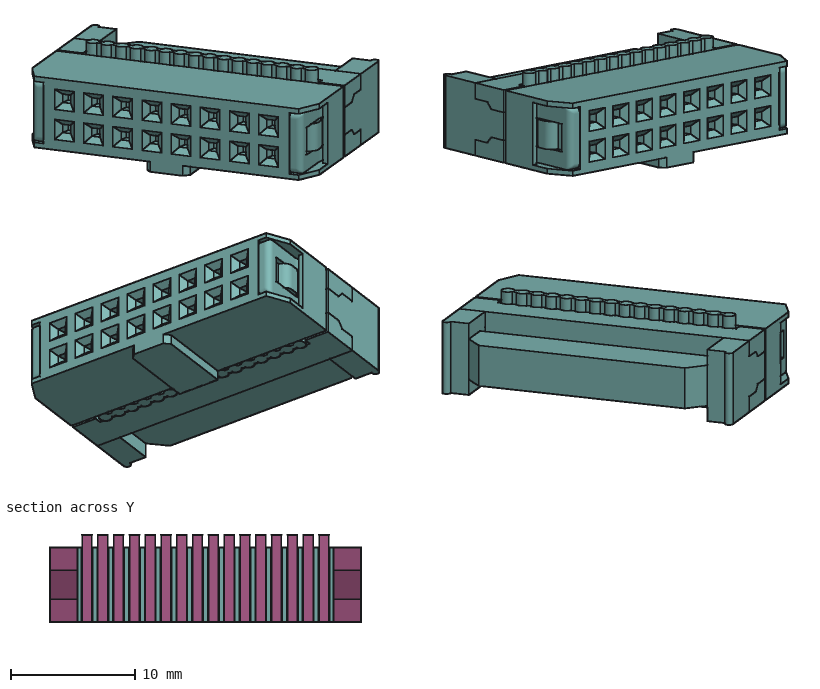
import cadquery as cq
import math


WIDTH = 25.0
HEIGHT = 6.0
HALF_WIDTH = WIDTH / 2
MID_Z = HEIGHT / 2

HOUSING_DEPTH = 7.0
NOSE_CHAMFER_X = 1.0
NOSE_CHAMFER_Y = 1.95
KEY_WIDTH = 3.75
KEY_HEIGHT = 0.85
KEY_CHAMFER = 0.45
SOCKET_COLUMNS = 8
SOCKET_ROWS = 2
SOCKET_ROW_LENGTH = 17.78
SOCKET_PITCH = SOCKET_ROW_LENGTH / (SOCKET_COLUMNS - 1)
FUNNEL_MOUTH = 1.7
FUNNEL_THROAT = 0.7
FUNNEL_DEPTH = (FUNNEL_MOUTH - FUNNEL_THROAT) / 2
SOCKET_END_WIDTH = 0.38
SOCKET_END_DEPTH = 1.25
RECESS_DEPTH = 3.72
ARM_SLOT_OUTER_X = 12.08

COVER_GAP = 0.25
COVER_FRONT = HOUSING_DEPTH + COVER_GAP
COVER_BACK = 10.68
ARM_INNER_X = 10.7
ARM_ROOT_X = 11.95
ARM_TIP_X = 11.75
ARM_RAMP_FRONT = 3.75
ARM_RAMP_LENGTH = 1.25
ARM_TIP_Y = 0.08
ARM_HEIGHT = 5.15
ARM_BOTTOM = MID_Z - ARM_HEIGHT / 2
ARM_TIP_RADIUS = 0.5
ARM_EDGE_RADIUS = 0.15
WINDOW_FRONT = 1.08

CLIP_LEG_WIDTH = 2.22
CLIP_INNER_X = HALF_WIDTH - CLIP_LEG_WIDTH
CLIP_SHOULDER_BACK = 14.3
CLIP_SHOULDER_HEIGHT = 3.38
CLIP_TAPER_BACK = 9.25
CLIP_TAPER_FRONT = 8.75
LEG_HEIGHT = 2.3
LEG_FLOOR_X = 11.3
HOOK_BACK = 3.58
HOOK_NOSE_BACK = 2.82
HOOK_NOSE_FRONT = 2.08
HOOK_NOSE_RADIUS = 0.78
HOOK_FRONT = 2.0
BEAD_RADIUS = 0.32
BEAD_CENTER_Y = 14.38
BAR_FRONT = 11.82
BAR_BACK = 15.7
BAR_HEIGHT = 3.4
BAR_CHAMFER = BAR_BACK - CLIP_SHOULDER_BACK

WIRE_COUNT = 16
WIRE_PITCH = SOCKET_PITCH / 2
WIRE_RADIUS = 0.52
WEB_THICKNESS = 0.52
CABLE_HEIGHT = 7.0
CABLE_Y = HOUSING_DEPTH + WIRE_RADIUS
WIRE_XS = [(i - (WIRE_COUNT - 1) / 2) * WIRE_PITCH for i in range(WIRE_COUNT)]
CABLE_POCKET_BACK = 7.88
WIRE_GROOVE_RADIUS = 0.58


def box(x_range, y_range, z_range):
    """Box that spans the given (low, high) ranges."""
    (x0, x1), (y0, y1), (z0, z1) = x_range, y_range, z_range
    return cq.Workplane("XY").box(x1 - x0, y1 - y0, z1 - z0, centered=False).translate((x0, y0, z0))


def centered_z(height):
    """Z range of the given height about the middle of the connector."""
    return MID_Z - height / 2, MID_Z + height / 2


def with_mirror(left):
    """Left-hand shape together with its mirror image on the right."""
    return left.union(left.mirror("YZ"))


def socket_cutter():
    """Square lead-in funnel followed by a throat that narrows to a slot."""
    return (
        cq.Workplane("XZ")
        .rect(FUNNEL_MOUTH, FUNNEL_MOUTH)
        .workplane(offset=-FUNNEL_DEPTH)
        .rect(FUNNEL_THROAT, FUNNEL_THROAT)
        .loft(ruled=True)
        .union(
            cq.Workplane("XZ", origin=(0, FUNNEL_DEPTH, 0))
            .rect(FUNNEL_THROAT, FUNNEL_THROAT)
            .workplane(offset=FUNNEL_DEPTH - SOCKET_END_DEPTH)
            .rect(SOCKET_END_WIDTH, FUNNEL_THROAT)
            .loft(ruled=True)
        )
    )


def polarizing_key():
    """Rib under the housing, with its two front corners chamfered."""
    key = box((-KEY_WIDTH / 2, KEY_WIDTH / 2), (0, HOUSING_DEPTH), (-KEY_HEIGHT, 0))
    return key.faces("<Y").edges("|Z").chamfer(KEY_CHAMFER)


def make_housing():
    nose_half = HALF_WIDTH - NOSE_CHAMFER_X
    body = (
        cq.Workplane("XY")
        .polyline([
            (-nose_half, 0),
            (nose_half, 0),
            (HALF_WIDTH, NOSE_CHAMFER_Y),
            (HALF_WIDTH, HOUSING_DEPTH),
            (-HALF_WIDTH, HOUSING_DEPTH),
            (-HALF_WIDTH, NOSE_CHAMFER_Y),
        ])
        .close()
        .extrude(HEIGHT)
        .union(polarizing_key())
    )
    side_recess = box((-HALF_WIDTH, -ARM_INNER_X), (0, RECESS_DEPTH), centered_z(ARM_HEIGHT))
    arm_slot = box(
        (-ARM_SLOT_OUTER_X, -ARM_INNER_X), (RECESS_DEPTH, HOUSING_DEPTH), centered_z(ARM_HEIGHT)
    )
    body = body.cut(with_mirror(side_recess.union(arm_slot)))

    cutter = socket_cutter()
    for column in range(SOCKET_COLUMNS):
        for row in range(SOCKET_ROWS):
            x = (column - (SOCKET_COLUMNS - 1) / 2) * SOCKET_PITCH
            z = MID_Z + (row - (SOCKET_ROWS - 1) / 2) * SOCKET_PITCH
            body = body.cut(cutter.translate((x, 0, z)))
    return body


def clip_side():
    """Left leg of the clip: shoulder, tapered neck and narrow shank down to the housing."""
    shoulder_z = CLIP_SHOULDER_HEIGHT / 2
    shank_z = LEG_HEIGHT / 2
    upper_half = [
        (COVER_FRONT, MID_Z + shank_z),
        (CLIP_TAPER_FRONT, MID_Z + shank_z),
        (CLIP_TAPER_BACK, MID_Z + shoulder_z),
        (COVER_BACK, MID_Z + shoulder_z),
        (COVER_BACK, HEIGHT),
        (CLIP_SHOULDER_BACK, HEIGHT),
    ]
    lower_half = [(y, HEIGHT - z) for y, z in reversed(upper_half)]
    plate = (
        cq.Workplane("YZ", origin=(-HALF_WIDTH, 0, 0))
        .polyline(upper_half + lower_half)
        .close()
        .extrude(CLIP_LEG_WIDTH)
    )
    bead = (
        cq.Workplane("XY")
        .center(BEAD_RADIUS - HALF_WIDTH, BEAD_CENTER_Y)
        .circle(BEAD_RADIUS)
        .extrude(HEIGHT)
    )
    gap_neck = box(
        (-ARM_ROOT_X, -CLIP_INNER_X), (HOUSING_DEPTH, COVER_FRONT), centered_z(LEG_HEIGHT)
    )
    return plate.union(bead).union(gap_neck).union(clip_hook())


def clip_hook():
    """Shank inside the housing, ending in a round-nosed hook ahead of the recess wall."""
    shank = box((-ARM_ROOT_X, -LEG_FLOOR_X), (HOOK_BACK, HOUSING_DEPTH), centered_z(LEG_HEIGHT))
    nose_reach = HOOK_NOSE_BACK - HOOK_NOSE_FRONT
    nose_drop = HOOK_NOSE_RADIUS - math.sqrt(HOOK_NOSE_RADIUS**2 - nose_reach**2)
    hook = (
        cq.Workplane("XY", origin=(0, 0, MID_Z - LEG_HEIGHT / 2))
        .moveTo(-LEG_FLOOR_X, HOOK_BACK)
        .lineTo(-ARM_SLOT_OUTER_X, HOOK_BACK)
        .lineTo(-ARM_SLOT_OUTER_X, HOOK_NOSE_BACK)
        .radiusArc((nose_drop - ARM_SLOT_OUTER_X, HOOK_NOSE_FRONT), -HOOK_NOSE_RADIUS)
        .lineTo(-LEG_FLOOR_X, HOOK_FRONT)
        .close()
        .extrude(LEG_HEIGHT)
    )
    return shank.union(hook)


def make_clip():
    bar = box((-CLIP_INNER_X, CLIP_INNER_X), (BAR_FRONT, BAR_BACK), centered_z(BAR_HEIGHT))
    bar = bar.faces(">Y").edges("|Z").chamfer(BAR_CHAMFER)
    return bar.union(with_mirror(clip_side()))


def cover_arm():
    """Left arm of the cover: it ramps inwards to a thinner end with a rounded tip."""
    arm = (
        cq.Workplane("XY", origin=(0, 0, ARM_BOTTOM))
        .polyline([
            (-ARM_INNER_X, COVER_FRONT),
            (-ARM_ROOT_X, COVER_FRONT),
            (-ARM_ROOT_X, ARM_RAMP_FRONT + ARM_RAMP_LENGTH),
            (-ARM_TIP_X, ARM_RAMP_FRONT),
            (-ARM_TIP_X, ARM_TIP_Y),
            (-ARM_INNER_X, ARM_TIP_Y),
        ])
        .close()
        .extrude(ARM_HEIGHT)
    )
    outer_face_edges = cq.selectors.BoxSelector(
        (-HALF_WIDTH, ARM_TIP_Y, 0), (-ARM_TIP_X + ARM_EDGE_RADIUS, COVER_FRONT, HEIGHT)
    )
    arm = arm.edges(outer_face_edges).edges("not |Z").fillet(ARM_EDGE_RADIUS)
    arm = arm.faces("<Y").edges("not >X").fillet(ARM_TIP_RADIUS)
    window = box(
        (-HALF_WIDTH, -LEG_FLOOR_X), (WINDOW_FRONT, COVER_FRONT), centered_z(LEG_HEIGHT)
    )
    return arm.cut(window)


def make_cover(clip):
    cover = box((-HALF_WIDTH, HALF_WIDTH), (COVER_FRONT, COVER_BACK), (0, HEIGHT))
    cover = cover.cut(
        box((-CLIP_INNER_X, CLIP_INNER_X), (COVER_FRONT, CABLE_POCKET_BACK), (0, HEIGHT))
    )
    wire_grooves = (
        cq.Workplane("XY")
        .pushPoints([(x, CABLE_Y) for x in WIRE_XS])
        .circle(WIRE_GROOVE_RADIUS)
        .extrude(HEIGHT)
    )
    return cover.cut(wire_grooves).union(with_mirror(cover_arm())).cut(clip)


def make_cable():
    cable = box(
        (WIRE_XS[0], WIRE_XS[-1]),
        (CABLE_Y - WEB_THICKNESS / 2, CABLE_Y + WEB_THICKNESS / 2),
        (0, CABLE_HEIGHT),
    )
    wires = (
        cq.Workplane("XY")
        .pushPoints([(x, CABLE_Y) for x in WIRE_XS])
        .circle(WIRE_RADIUS)
        .extrude(CABLE_HEIGHT)
    )
    return cable.union(wires)


housing = make_housing()
clip = make_clip()
cover = make_cover(clip)
cable = make_cable()

result = cq.Compound.makeCompound([
    housing.solids().val(),
    cover.solids().val(),
    clip.solids().val(),
    cable.solids().val(),
])